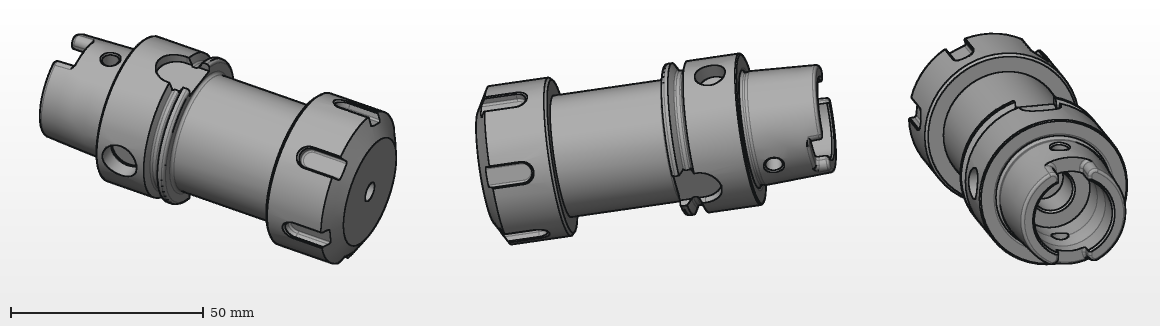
import cadquery as cq
import math


taper_end = 17.9
taper_large_radius = 15.0
taper_slope = 1 / 20
end_face_round = 0.8
neck_radius = 14.8
neck_start = 18.7
neck_round = 0.7

flange_face = 19.8
face_relief_depth = 0.2
face_relief_radius = 16.2
flange_radius = 20.0
flange_chamfer = 0.4
flange_end = 33.9
groove_radius = 17.7
groove_round = 0.6
groove_floor_start = 34.9
groove_floor_end = 36.6
collar_start = 37.9
collar_end = 39.8
collar_round = 0.8
shank_radius = 16.0
shank_round = 0.8

mouth_radius = 11.1
mouth_chamfer = 0.5
outer_bore_radius = 10.5
outer_bore_end = 7.6
inner_bore_radius = 10.0
inner_bore_start = 13.5
inner_bore_end = 20.7
thread_mouth_radius = 6.0
thread_radius = 5.5
thread_end = 30.6
channel_radius = 2.6

end_slot_half_width = 4.0
end_slot_round = 1.8
end_slot_floor_round = 0.8
upper_slot_depth = 6.0
lower_slot_depth = 3.5

cross_hole_x = 13.75
cross_hole_radius = 2.25
cross_hole_chamfer = 0.45
side_hole_x = 26.8
side_hole_floor = 14.8
front_hole_radius = 5.0
front_hole_chamfer = 0.3
back_hole_radius = 4.05
back_hole_height = 1.9

key_center_x = 33.2
key_half_width = 5.5
key_height = 17.0

nut_start = 69.9
nut_end = 89.9
nut_radius = 20.9
nut_chamfer = 0.7
nut_cone_start = 86.4
nut_face_radius = 14.8
slot_count = 6
slot_tilt = -6
slot_half_width = 2.7
slot_center_x = 78.3
slot_floor = 18.3
slot_floor_round = 0.5
slot_flare_start = 20.3
slot_cut_top = nut_radius + 0.9

edge_margin = 0.3
clearance = 0.9


def revolve_about_x(outline):
    return outline.close().revolve(360, (0, 0, 0), (1, 0, 0))


def cylinder_x(radius, start, end):
    return cq.Workplane("YZ", origin=(start, 0, 0)).circle(radius).extrude(end - start)


def edges_centered_in(body, corner, opposite_corner):
    return body.edges(cq.selectors.BoxSelector(corner, opposite_corner))


def turned_body():
    tip_radius = taper_large_radius - taper_end * taper_slope
    relief_floor = flange_face + face_relief_depth
    outline = (
        cq.Workplane("XY")
        .moveTo(0, 0)
        .lineTo(0, tip_radius)
        .lineTo(taper_end, taper_large_radius)
        .lineTo(neck_start, neck_radius)
        .lineTo(relief_floor - neck_round, neck_radius)
        .radiusArc((relief_floor, neck_radius + neck_round), -neck_round)
        .lineTo(flange_face, face_relief_radius)
        .lineTo(flange_face, flange_radius - flange_chamfer)
        .lineTo(flange_face + flange_chamfer, flange_radius)
        .lineTo(flange_end, flange_radius)
        .lineTo(groove_floor_start, groove_radius)
        .lineTo(groove_floor_end, groove_radius)
        .lineTo(collar_start, flange_radius)
        .lineTo(collar_end - collar_round, flange_radius)
        .radiusArc((collar_end, flange_radius - collar_round), collar_round)
        .lineTo(collar_end, shank_radius + shank_round)
        .radiusArc((collar_end + shank_round, shank_radius), -shank_round)
        .lineTo(nut_cone_start, shank_radius)
        .lineTo(nut_cone_start, 0)
    )
    body = revolve_about_x(outline)
    groove_corners = edges_centered_in(
        body,
        (groove_floor_start - edge_margin, -edge_margin, -edge_margin),
        (groove_floor_end + edge_margin, edge_margin, edge_margin),
    )
    return groove_corners.fillet(groove_round)


def stepped_bore():
    thread_chamfer = thread_mouth_radius - thread_radius
    outline = (
        cq.Workplane("XY")
        .moveTo(0, 0)
        .lineTo(0, mouth_radius)
        .lineTo(mouth_chamfer, outer_bore_radius)
        .lineTo(outer_bore_end, outer_bore_radius)
        .lineTo(inner_bore_start, inner_bore_radius)
        .lineTo(inner_bore_end, inner_bore_radius)
        .lineTo(inner_bore_end, thread_mouth_radius)
        .lineTo(inner_bore_end + thread_chamfer, thread_radius)
        .lineTo(thread_end, thread_radius)
        .lineTo(thread_end, 0)
    )
    return revolve_about_x(outline)


def cut_end_slots(body):
    """Cut the slots above and below, then round their outer corners and their floors."""
    reach = taper_large_radius + clearance
    slots = [(upper_slot_depth, 1), (lower_slot_depth, -1)]
    for depth, up in slots:
        slot = cq.Workplane("XY").rect(2 * depth, 2 * end_slot_half_width).extrude(up * reach)
        body = body.cut(slot)

    tip_radius = taper_large_radius - taper_end * taper_slope
    corner_height = math.sqrt(tip_radius**2 - end_slot_half_width**2) - edge_margin
    for depth, up in slots:
        for side in (-1, 1):
            inner = side * (end_slot_half_width - edge_margin)
            outer = side * (end_slot_half_width + edge_margin)
            corner_edge = edges_centered_in(
                body, (0, inner, up * corner_height), (depth, outer, up * reach)
            )
            body = corner_edge.fillet(end_slot_round)
    for depth, up in slots:
        half_span = end_slot_half_width + end_slot_round
        floor_edges = edges_centered_in(
            body,
            (depth - edge_margin, -half_span, up * edge_margin),
            (depth + edge_margin, half_span, up * corner_height),
        )
        body = floor_edges.fillet(end_slot_floor_round)
    return body


def cut_cross_hole(body):
    """Hole through both walls of the taper, chamfered outside."""
    taper_radius = taper_large_radius - (taper_end - cross_hole_x) * taper_slope
    reach = taper_radius + clearance
    hole = (
        cq.Workplane("XY", origin=(cross_hole_x, 0, -reach))
        .circle(cross_hole_radius)
        .extrude(2 * reach)
    )
    body = body.cut(hole)
    for up in (-1, 1):
        rim = edges_centered_in(
            body,
            (cross_hole_x - edge_margin, -edge_margin, up * (taper_radius - 2 * edge_margin)),
            (cross_hole_x + edge_margin, edge_margin, up * reach),
        )
        body = rim.chamfer(cross_hole_chamfer)
    return body


def front_hole():
    """Flat-bottomed hole on the -Y side of the flange with a chamfered floor edge."""
    floor = cq.Workplane("XZ", origin=(side_hole_x, -side_hole_floor, 0))
    hole = floor.circle(front_hole_radius).extrude(flange_radius - side_hole_floor + clearance)
    return hole.faces(">Y").edges().chamfer(front_hole_chamfer)


def back_hole():
    """Smaller hole on the +Y side, set above the axis."""
    floor = cq.Workplane("XZ", origin=(side_hole_x, side_hole_floor, back_hole_height))
    return floor.circle(back_hole_radius).extrude(side_hole_floor - flange_radius - clearance)


def key_flat(side):
    """Round-ended flat that runs out through the collar; side is +1 for +Z and -1 for -Z."""
    height = flange_radius - key_height + clearance
    plane = cq.Workplane("XY", origin=(key_center_x, 0, side * key_height))
    run_out = collar_end - key_center_x
    return (
        plane.moveTo(run_out, -key_half_width)
        .lineTo(0, -key_half_width)
        .radiusArc((0, key_half_width), key_half_width)
        .lineTo(run_out, key_half_width)
        .close()
        .extrude(side * height)
    )


def make_holder():
    body = turned_body()
    body = cut_end_slots(body)
    body = body.faces("<X").edges().fillet(end_face_round)
    body = body.cut(stepped_bore())
    body = body.cut(cylinder_x(channel_radius, 0, nut_end))
    body = cut_cross_hole(body)
    body = body.cut(front_hole())
    body = body.cut(back_hole())
    for side in (-1, 1):
        body = body.cut(key_flat(side))
    return body


def nut_slot():
    """Open slot on the +Z side with a round end, rounded floor edges and flared rim."""
    length = nut_end - slot_center_x + clearance

    def footprint(height):
        return (
            cq.Workplane("XY", origin=(slot_center_x, 0, height))
            .moveTo(length, -slot_half_width)
            .lineTo(0, -slot_half_width)
            .radiusArc((0, slot_half_width), slot_half_width)
            .lineTo(length, slot_half_width)
            .close()
        )

    channel = footprint(slot_floor).extrude(slot_cut_top - slot_floor)
    channel = channel.faces("<Z").edges().fillet(slot_floor_round)
    flare = footprint(slot_flare_start).extrude(slot_cut_top - slot_flare_start, taper=-45)
    return channel.union(flare)


def make_nut():
    outline = (
        cq.Workplane("XY")
        .moveTo(nut_start, shank_radius)
        .lineTo(nut_start, nut_radius - nut_chamfer)
        .lineTo(nut_start + nut_chamfer, nut_radius)
        .lineTo(nut_cone_start, nut_radius)
        .lineTo(nut_end, nut_face_radius)
        .lineTo(nut_end, channel_radius)
        .lineTo(nut_cone_start, channel_radius)
        .lineTo(nut_cone_start, shank_radius)
    )
    body = revolve_about_x(outline)
    slot = nut_slot()
    for index in range(slot_count):
        angle = 90 - slot_tilt - index * 360 / slot_count
        body = body.cut(slot.rotate((0, 0, 0), (1, 0, 0), angle))
    return body


holder = make_holder()
nut = make_nut()
result = cq.Compound.makeCompound([holder.val(), nut.val()])